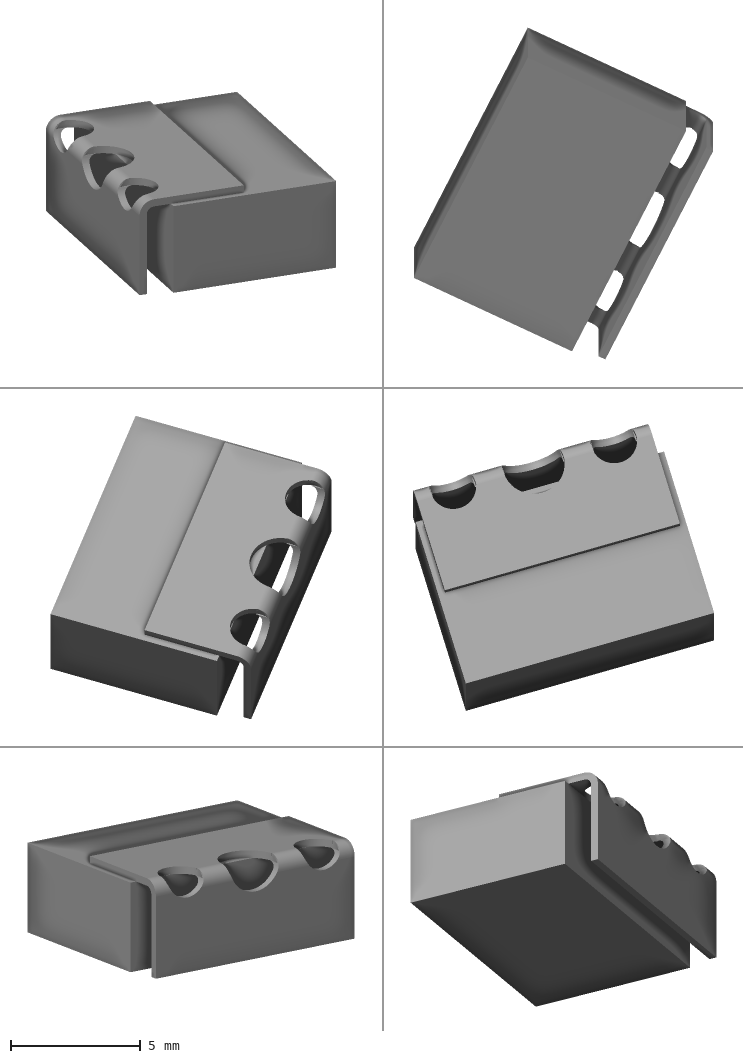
import cadquery as cq

block_length = 10.0
block_depth = 6.8
block_height = 3.6

plate_length = 9.46
plate_thickness = 0.3
plate_lap = 3.05
bend_radius = 0.6
plate_top = block_height + plate_thickness
plate_front = -1.3
plate_inner = plate_front + plate_thickness
bend_start = plate_front + bend_radius

wide_radius = 1.2
narrow_radius = 0.89
narrow_offset = 3.24
opening_axis_y = -0.86
openings = [
    (-narrow_offset, narrow_radius),
    (0, wide_radius),
    (narrow_offset, narrow_radius),
]


def make_block():
    return cq.Workplane("XY").box(
        block_length, block_depth, block_height, centered=(True, False, False)
    )


def make_plate():
    """L-shaped bent sheet with concentric inner and outer bend arcs."""
    inner_bend_radius = bend_radius - plate_thickness
    return (
        cq.Workplane("YZ")
        .moveTo(plate_lap, block_height)
        .lineTo(plate_lap, plate_top)
        .lineTo(bend_start, plate_top)
        .radiusArc((plate_front, plate_top - bend_radius), -bend_radius)
        .lineTo(plate_front, 0)
        .lineTo(plate_inner, 0)
        .lineTo(plate_inner, plate_top - bend_radius)
        .radiusArc((bend_start, block_height), inner_bend_radius)
        .close()
        .extrude(plate_length / 2, both=True)
    )


def make_opening(center_x, radius):
    """Two round cuts: one straight down through the top, one along Y through the bend and front wall."""
    top_cut = (
        cq.Workplane("XY", origin=(center_x, opening_axis_y, block_height))
        .circle(radius)
        .extrude(plate_thickness)
    )
    front_cut = (
        cq.Workplane("XZ", origin=(center_x, bend_start, plate_top))
        .circle(radius)
        .extrude(bend_radius)
    )
    return top_cut.union(front_cut)


plate = make_plate()
for center_x, radius in openings:
    plate = plate.cut(make_opening(center_x, radius))

result = make_block().union(plate)